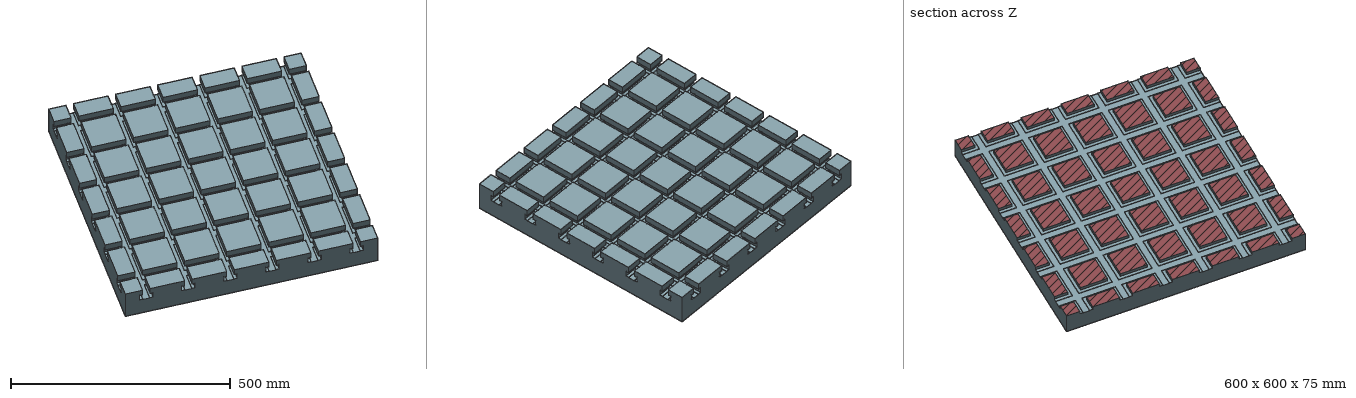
import cadquery as cq

plate_side = 600.0
plate_height = 75.0

slot_count = 6
slot_pitch = plate_side / slot_count
slot_depth = 30.0
neck_width = 18.0
neck_depth = 16.0
head_width = 32.0
head_height = slot_depth - neck_depth

groove_width = 16.0
groove_depth = 1.0


def channel_row(width, height, top_depth):
    """Evenly spaced bars through the plate along Y, starting top_depth below its top face."""
    bars = cq.Workplane("XY").rarray(slot_pitch, 6, slot_count, 1)
    bars = bars.box(width, plate_side, height, centered=(True, True, False))
    return bars.translate((0, 0, plate_height - top_depth - height))


necks = channel_row(neck_width, neck_depth, 0)
heads = channel_row(head_width, head_height, neck_depth)
grooves = channel_row(groove_width, groove_depth, slot_depth)

slots_along_y = necks.union(heads).union(grooves)
slots_along_x = slots_along_y.rotate((0, 0, 0), (0, 0, 1), 90)

plate = cq.Workplane("XY").box(plate_side, plate_side, plate_height, centered=(True, True, False))
result = plate.cut(slots_along_y).cut(slots_along_x)